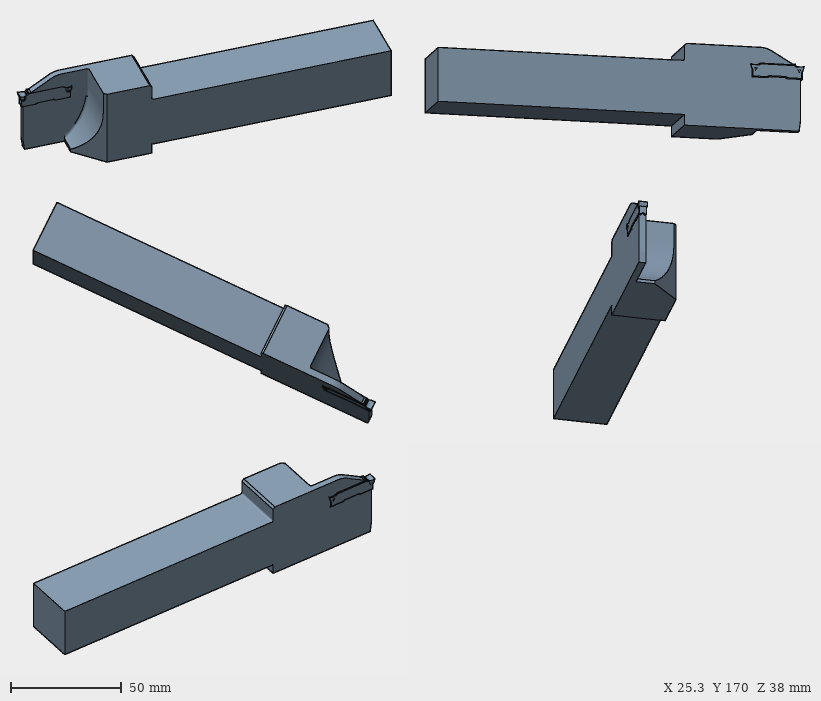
import cadquery as cq
import math


TOOL_LENGTH = 170.0
SHANK_WIDTH = 24.8
SHANK_HEIGHT = 25.0
SHANK_BOTTOM = 5.0
HEAD_HEIGHT = 38.0
HEAD_BACK = 55.6
SHOULDER_CHAMFER = 1.0
SHOULDER_FILLET = 0.9
BLADE_FILLET = 1.0
SHANK_TOP = SHANK_BOTTOM + SHANK_HEIGHT

BLADE_WIDTH = 3.2
BLADE_FRONT = 1.5
NOSE_RELIEF_HEIGHT = 5.1
NOSE_RELIEF = 0.7
TOP_ARC_START = 20.0
TOP_ARC_RADIUS = 10.0
TOP_SLOPE = math.radians(30)
JAW_FRONT = 3.9
JAW_TIP_HEIGHT = 31.0

RELIEF_BACK = 32.8
RELIEF_FRONT = 21.3
RELIEF_ARC_TOP = 26.7
RELIEF_ARC_BOTTOM = 1.5
CORNER_START = 11.9
SELECT_MARGIN = 0.2

CUTTER_WIDTH = 4.0
SIDE_OVERHANG = 0.5
BODY_OVERHANG = 0.25
INSERT_LENGTH = 24.8
BODY_INSET = 0.7
BODY_BOTTOM = 24.0
BODY_TOP = 30.6
ARCH_RISE = 0.5
ARCH_HALF_LENGTH = 4.6
ARCH_RAMP = 0.9
CROWN_START = 3.4
CROWN_RAMP = 1.0
CUTTER_LENGTH = 2.9
CUTTER_DEPTH = 2.9
LAND_LENGTH = 2.0
LAND_DEPTH = 1.5
FLANK_DEPTH = 1.9
END_RELIEF = 0.3
GROOVE_DIAMETER = 8.0
GROOVE_DEPTH = 0.25
GROOVE_CENTER = 1.7
RIB_WIDTH = 1.7
RIB_HEIGHT = 0.7
BODY_BEVEL = 60
INSERT_MIDDLE = INSERT_LENGTH / 2
CUTTING_HEIGHT = SHANK_TOP


def side_profile(points):
    """Closed polygon of (Y, Z) points on the X = 0 plane, extruding toward +X."""
    return cq.Workplane("YZ").polyline(points).close()


def make_shank():
    length = TOOL_LENGTH - HEAD_BACK
    return cq.Workplane("XY").box(SHANK_WIDTH, length, SHANK_HEIGHT, centered=False).translate(
        (0, HEAD_BACK, SHANK_BOTTOM)
    )


def make_head():
    """Full-width head, outlined from the side with the sloping jaw and the relieved nose."""
    arc_end_y = TOP_ARC_START - TOP_ARC_RADIUS * math.sin(TOP_SLOPE)
    arc_end_z = HEAD_HEIGHT - TOP_ARC_RADIUS * (1 - math.cos(TOP_SLOPE))
    arc_mid_y = TOP_ARC_START - TOP_ARC_RADIUS * math.sin(TOP_SLOPE / 2)
    arc_mid_z = HEAD_HEIGHT - TOP_ARC_RADIUS * (1 - math.cos(TOP_SLOPE / 2))
    slope_end_y = arc_end_y - (arc_end_z - JAW_TIP_HEIGHT) / math.tan(TOP_SLOPE)
    return (
        cq.Workplane("YZ")
        .moveTo(HEAD_BACK, 0)
        .lineTo(HEAD_BACK, HEAD_HEIGHT - SHOULDER_CHAMFER)
        .lineTo(HEAD_BACK - SHOULDER_CHAMFER, HEAD_HEIGHT)
        .lineTo(TOP_ARC_START, HEAD_HEIGHT)
        .threePointArc((arc_mid_y, arc_mid_z), (arc_end_y, arc_end_z))
        .lineTo(slope_end_y, JAW_TIP_HEIGHT)
        .lineTo(JAW_FRONT, JAW_TIP_HEIGHT)
        .lineTo(JAW_FRONT, BODY_BOTTOM + RIB_HEIGHT)
        .lineTo(BLADE_FRONT, BODY_BOTTOM + RIB_HEIGHT)
        .lineTo(BLADE_FRONT, NOSE_RELIEF_HEIGHT)
        .lineTo(BLADE_FRONT + NOSE_RELIEF, 0)
        .close()
        .extrude(SHANK_WIDTH)
    )


def make_side_relief():
    """Space beside the blade: an upright wall that sweeps forward in an arc down to its foot."""
    drop = RELIEF_ARC_TOP - RELIEF_ARC_BOTTOM
    reach = RELIEF_BACK - RELIEF_FRONT
    radius = (reach**2 + drop**2) / (2 * reach)
    half_angle = math.asin(drop / radius) / 2
    arc_mid = (
        RELIEF_BACK - radius * (1 - math.cos(half_angle)),
        RELIEF_ARC_TOP - radius * math.sin(half_angle),
    )
    return (
        cq.Workplane("YZ", origin=(BLADE_WIDTH, 0, 0))
        .lineTo(0, HEAD_HEIGHT)
        .lineTo(RELIEF_BACK, HEAD_HEIGHT)
        .lineTo(RELIEF_BACK, RELIEF_ARC_TOP)
        .threePointArc(arc_mid, (RELIEF_FRONT, RELIEF_ARC_BOTTOM))
        .lineTo(RELIEF_FRONT, 0)
        .close()
        .extrude(SHANK_WIDTH)
    )


def make_corner_cut():
    """45 degree cut across the far front corner of the head."""
    reach = SHANK_WIDTH - CORNER_START
    return (
        cq.Workplane("XY")
        .moveTo(CORNER_START, RELIEF_FRONT)
        .lineTo(SHANK_WIDTH, RELIEF_FRONT + reach)
        .lineTo(SHANK_WIDTH, RELIEF_FRONT)
        .close()
        .extrude(HEAD_HEIGHT)
    )


def body_outline():
    """Side outline of the insert body, arched underneath and crowned between its two ends."""
    back_end = INSERT_LENGTH - BODY_INSET
    arch_front = INSERT_MIDDLE - ARCH_HALF_LENGTH
    arch_back = INSERT_MIDDLE + ARCH_HALF_LENGTH
    arch_top = BODY_BOTTOM + ARCH_RISE
    return side_profile([
        (BODY_INSET, BODY_BOTTOM),
        (arch_front, BODY_BOTTOM),
        (arch_front + ARCH_RAMP, arch_top),
        (arch_back - ARCH_RAMP, arch_top),
        (arch_back, BODY_BOTTOM),
        (back_end, BODY_BOTTOM),
        (back_end, CUTTING_HEIGHT),
        (INSERT_LENGTH - CROWN_START, CUTTING_HEIGHT),
        (INSERT_LENGTH - CROWN_START - CROWN_RAMP, BODY_TOP),
        (CROWN_START + CROWN_RAMP, BODY_TOP),
        (CROWN_START, CUTTING_HEIGHT),
        (BODY_INSET, CUTTING_HEIGHT),
    ])


def cutting_head_section(x, length, depth):
    """Outline of the front cutting head at a given X, with a relieved end face and a cut-back lower corner."""
    land_bottom = CUTTING_HEIGHT - LAND_DEPTH
    bottom = CUTTING_HEIGHT - depth
    corner = depth - LAND_DEPTH
    points = [
        (0, CUTTING_HEIGHT),
        (END_RELIEF, land_bottom),
        (END_RELIEF + corner / 2, bottom),
        (length - corner / 2, bottom),
        (length, land_bottom),
        (length, CUTTING_HEIGHT),
    ]
    return cq.Wire.makePolygon([cq.Vector(x, y, z) for y, z in points], close=True)


def make_cutting_head():
    """Front cutting head: widest at the cutting edge, flaring back into the body on both sides."""
    sections = [
        cutting_head_section(-SIDE_OVERHANG, LAND_LENGTH, FLANK_DEPTH),
        cutting_head_section(-BODY_OVERHANG, CUTTER_LENGTH, CUTTER_DEPTH),
        cutting_head_section(BLADE_WIDTH, CUTTER_LENGTH, CUTTER_DEPTH),
        cutting_head_section(CUTTER_WIDTH - SIDE_OVERHANG, LAND_LENGTH, FLANK_DEPTH),
    ]
    return cq.Workplane(cq.Solid.makeLoft(sections, True))


def make_chip_groove():
    """Cylinder lying across the insert that hollows the top just behind the cutting edge."""
    axis_height = CUTTING_HEIGHT - GROOVE_DEPTH + GROOVE_DIAMETER / 2
    return (
        cq.Workplane("YZ", origin=(-SIDE_OVERHANG, 0, 0))
        .center(GROOVE_CENTER, axis_height)
        .circle(GROOVE_DIAMETER / 2)
        .extrude(CUTTER_WIDTH)
    )


def both_ends(front_shape):
    """The front shape together with its mirror image at the back end of the insert."""
    return front_shape.union(front_shape.mirror("XZ", (0, INSERT_MIDDLE, 0)))


def make_rib():
    """Triangular ridge running along the pocket floor under the insert."""
    middle = BLADE_WIDTH / 2
    return (
        cq.Workplane("XZ")
        .moveTo(middle - RIB_WIDTH / 2, BODY_BOTTOM)
        .lineTo(middle, BODY_BOTTOM + RIB_HEIGHT)
        .lineTo(middle + RIB_WIDTH / 2, BODY_BOTTOM)
        .close()
        .extrude(-INSERT_LENGTH)
    )


def make_insert():
    body = body_outline().extrude(BLADE_WIDTH)
    proud_side = body_outline().extrude(-BODY_OVERHANG, taper=BODY_BEVEL)
    ends = both_ends(make_cutting_head())
    return body.union(proud_side).union(ends).cut(both_ends(make_chip_groove())).cut(make_rib())


def make_holder(insert):
    """Shank, head and blade, with a pocket that fits the insert."""
    shoulder_foot = cq.selectors.NearestToPointSelector((SHANK_WIDTH / 2, HEAD_BACK, SHANK_TOP))
    blade_foot = cq.selectors.BoxSelector(
        (BLADE_WIDTH - SELECT_MARGIN, RELIEF_FRONT - SELECT_MARGIN, RELIEF_ARC_BOTTOM - SELECT_MARGIN),
        (BLADE_WIDTH + SELECT_MARGIN, RELIEF_BACK + SELECT_MARGIN, HEAD_HEIGHT),
    )
    blank = make_shank().union(make_head()).edges(shoulder_foot).fillet(SHOULDER_FILLET)
    blank = blank.cut(make_side_relief()).cut(make_corner_cut())
    return blank.edges(blade_foot).fillet(BLADE_FILLET).cut(insert)


insert = make_insert()
holder = make_holder(insert)
result = cq.Compound.makeCompound([holder.solids().val(), insert.solids().val()])